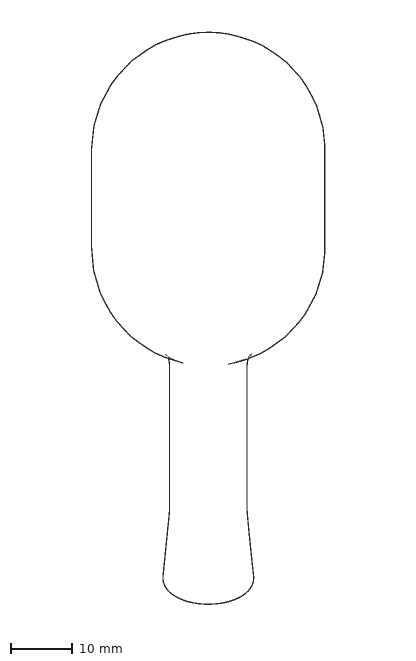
import cadquery as cq
import math

total_length = 101.5
head_radius = 38.1 / 2
head_straight = head_radius
handle_radius = 12.7 / 2
neck_fillet = 6.35
flare_height = 13.6
foot_radius = 7.5
foot_edge = 1.0

upper_center = total_length - head_radius
lower_center = upper_center - head_straight

neck_center_radius = handle_radius + neck_fillet
center_distance = head_radius + neck_fillet
neck_height = lower_center - math.sqrt(center_distance**2 - neck_center_radius**2)
dome_share = head_radius / center_distance
dome_end = (
    neck_center_radius * dome_share,
    lower_center + (neck_height - lower_center) * dome_share,
)


def point_on_arc(center, radius, start, end):
    """Return the point midway along the minor arc from start to end."""
    dx = (start[0] + end[0]) / 2 - center[0]
    dz = (start[1] + end[1]) / 2 - center[1]
    reach = math.hypot(dx, dz)
    return (center[0] + dx * radius / reach, center[1] + dz * radius / reach)


top = (0, total_length)
upper_seam = (head_radius, upper_center)
lower_seam = (head_radius, lower_center)
neck_end = (handle_radius, neck_height)

profile = (
    cq.Workplane("XZ")
    .lineTo(foot_radius, 0)
    .lineTo(handle_radius, flare_height)
    .lineTo(*neck_end)
    .threePointArc(
        point_on_arc((neck_center_radius, neck_height), neck_fillet, neck_end, dome_end),
        dome_end,
    )
    .threePointArc(
        point_on_arc((0, lower_center), head_radius, dome_end, lower_seam),
        lower_seam,
    )
    .lineTo(*upper_seam)
    .threePointArc(
        point_on_arc((0, upper_center), head_radius, upper_seam, top),
        top,
    )
    .close()
)
body = profile.revolve(360, (0, 0, 0), (0, 1, 0))

result = body.faces("<Z").edges().fillet(foot_edge)